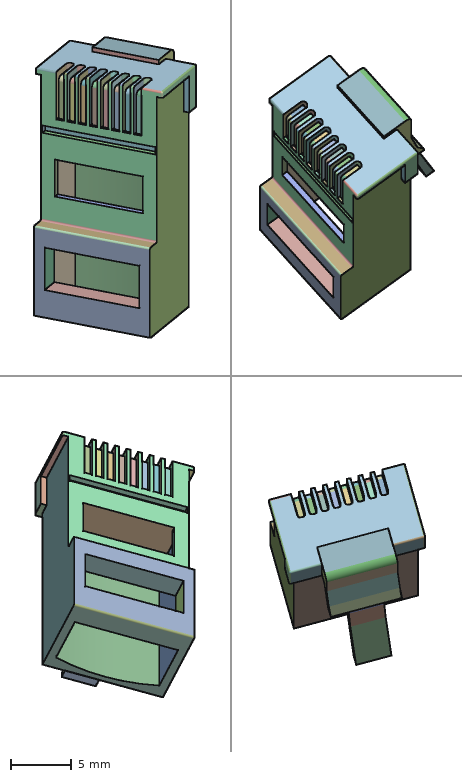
import cadquery as cq


TOTAL_HEIGHT = 22.17

BODY_WIDTH = 10.66
BODY_BACK = 6.07
STEP_DEPTH = 1.33
STEP_TOP = 8.14
STEP_FILLET = 0.15
WALL = 0.53

HEAD_WIDTH = 11.68
HEAD_BACK = 6.52
HEAD_TOP = 21.77
PLATE_THICKNESS = 0.55
SHOULDER_DEPTH = 1.45
SHOULDER_BOTTOM = 17.95
HEAD_FILLET = 0.15

CAVITY_WIDTH = 9.13
CAVITY_BACK = BODY_BACK - WALL
CAVITY_BOW = 0.65

LOWER_WINDOW_WIDTH = 8.7
LOWER_WINDOW_BOTTOM = 2.55
LOWER_WINDOW_TOP = 6.36
UPPER_WINDOW_WIDTH = 8.07
UPPER_WINDOW_BOTTOM = 10.5
UPPER_WINDOW_TOP = 13.83
GROOVE_WIDTH = 10.4
GROOVE_BOTTOM = 16.03
GROOVE_TOP = 16.7
GROOVE_DEPTH = 0.53

SLOT_COUNT = 8
SLOT_PITCH = 1.02
SLOT_WIDTH = 0.69
SLOT_DEPTH = 2.2
SLOT_BOTTOM = 17.47
BLADE_WIDTH = 0.5
BLADE_RECESS = 0.27
BLADE_END = 2.05
BLADE_TOP = 21.22
BLADE_FILLET = 0.38

LATCH_WIDTH = 6.1
LATCH_TAB_WIDTH = 3.04
LATCH_FRONT = HEAD_BACK - SHOULDER_DEPTH
LATCH_BACK = 8.0
LATCH_ROOT_BOTTOM = 18.31
LATCH_ROUND = 0.67
ARM_INNER_START = 7.32
ARM_INNER_END = 10.82
ARM_BEND = (8.7, 15.67)
HOOK_TOP_Y = 9.33
HOOK_TOP = 14.63
HOOK_BOTTOM_Y = 9.4
HOOK_BOTTOM = 14.35
TAB_BEND = (9.85, 11.53)
TAB_END_Y = 11.66
TAB_END_Z = 5.3


def block(width, y_front, y_back, z_bottom, z_top):
    """Box centred on X = 0 between the given Y and Z limits."""
    box = cq.Workplane("XY").box(width, y_back - y_front, z_top - z_bottom, centered=(True, False, False))
    return box.translate((0, y_front, z_bottom))


def side_profile(points, width):
    """Extrude a (Y, Z) outline symmetrically about X = 0."""
    return cq.Workplane("YZ").polyline(points).close().extrude(width / 2, both=True)


def make_body():
    """Stepped body with a rounded step; it ends below the rounded rim of the head."""
    body_top = HEAD_TOP - HEAD_FILLET
    outline = [
        (-STEP_DEPTH, 0),
        (BODY_BACK, 0),
        (BODY_BACK, body_top),
        (0, body_top),
        (0, STEP_TOP),
        (-STEP_DEPTH, STEP_TOP),
    ]
    body = side_profile(outline, BODY_WIDTH)
    edge_midpoints = [(0, -STEP_DEPTH, 0), (0, -STEP_DEPTH, STEP_TOP), (0, 0, STEP_TOP)]
    for midpoint in edge_midpoints:
        body = body.edges(cq.NearestToPointSelector(midpoint)).fillet(STEP_FILLET)
    return body


def make_head():
    """Thin plate over the nose with a taller shoulder at the latch side, rounded outside."""
    plate = block(HEAD_WIDTH, 0, HEAD_BACK, HEAD_TOP - PLATE_THICKNESS, HEAD_TOP)
    shoulder = block(HEAD_WIDTH, HEAD_BACK - SHOULDER_DEPTH, HEAD_BACK, SHOULDER_BOTTOM, HEAD_TOP)
    head = plate.union(shoulder)
    outer_corners = head.faces("<Y or >Y").edges("|Z")
    top_rim = head.faces(">Z").edges()
    return head.newObject(outer_corners.vals() + top_rim.vals()).fillet(HEAD_FILLET)


def make_cavity():
    """Cable cavity reaching from the cable end to the top of the upper window."""
    half = CAVITY_WIDTH / 2
    corner_y = CAVITY_BACK - CAVITY_BOW
    return (
        cq.Workplane("XY")
        .moveTo(-half, WALL)
        .lineTo(half, WALL)
        .lineTo(half, corner_y)
        .threePointArc((0, CAVITY_BACK), (-half, corner_y))
        .close()
        .extrude(UPPER_WINDOW_TOP)
    )


def make_slot(x):
    """Slot open to the contact face and the nose, with a round inner end."""
    radius = SLOT_WIDTH / 2
    end_y = SLOT_DEPTH - radius
    return (
        cq.Workplane("XY", origin=(x, 0, SLOT_BOTTOM))
        .moveTo(-radius, 0)
        .lineTo(radius, 0)
        .lineTo(radius, end_y)
        .threePointArc((0, SLOT_DEPTH), (-radius, end_y))
        .close()
        .extrude(HEAD_TOP - SLOT_BOTTOM)
    )


def make_blade(x):
    """Contact blade with a rounded nose, standing on the slot floor, clear of the slot walls."""
    blade = block(BLADE_WIDTH, BLADE_RECESS, BLADE_END, SLOT_BOTTOM, BLADE_TOP)
    return blade.faces(">Z").edges("<Y").fillet(BLADE_FILLET).translate((x, 0, 0))


def make_latch():
    """Latch root on the head, a wide arm down to the hook, then a narrow tab."""
    arm_slope = (ARM_INNER_END - ARM_INNER_START) / (LATCH_ROOT_BOTTOM - TAB_END_Z)
    inner_at_hook = ARM_INNER_START + arm_slope * (LATCH_ROOT_BOTTOM - HOOK_BOTTOM)

    root = block(LATCH_WIDTH, LATCH_FRONT, LATCH_BACK, LATCH_ROOT_BOTTOM, TOTAL_HEIGHT)
    root = root.faces(">Z").edges(">Y").fillet(LATCH_ROUND)
    arm = side_profile(
        [
            (ARM_INNER_START, LATCH_ROOT_BOTTOM),
            (LATCH_BACK, LATCH_ROOT_BOTTOM),
            ARM_BEND,
            (HOOK_TOP_Y, HOOK_TOP),
            (HOOK_BOTTOM_Y, HOOK_BOTTOM),
            (inner_at_hook, HOOK_BOTTOM),
        ],
        LATCH_WIDTH,
    )
    tab = side_profile(
        [
            (inner_at_hook, HOOK_BOTTOM),
            (HOOK_BOTTOM_Y, HOOK_BOTTOM),
            TAB_BEND,
            (TAB_END_Y, TAB_END_Z),
            (ARM_INNER_END, TAB_END_Z),
        ],
        LATCH_TAB_WIDTH,
    )
    return root.union(arm).union(tab)


slot_positions = [(i - (SLOT_COUNT - 1) / 2) * SLOT_PITCH for i in range(SLOT_COUNT)]

result = make_body().union(make_head()).union(make_latch())
result = result.cut(make_cavity())
result = result.cut(block(LOWER_WINDOW_WIDTH, -STEP_DEPTH, WALL, LOWER_WINDOW_BOTTOM, LOWER_WINDOW_TOP))
result = result.cut(block(UPPER_WINDOW_WIDTH, 0, WALL, UPPER_WINDOW_BOTTOM, UPPER_WINDOW_TOP))
result = result.cut(block(GROOVE_WIDTH, 0, GROOVE_DEPTH, GROOVE_BOTTOM, GROOVE_TOP))
for slot_x in slot_positions:
    result = result.cut(make_slot(slot_x)).union(make_blade(slot_x))